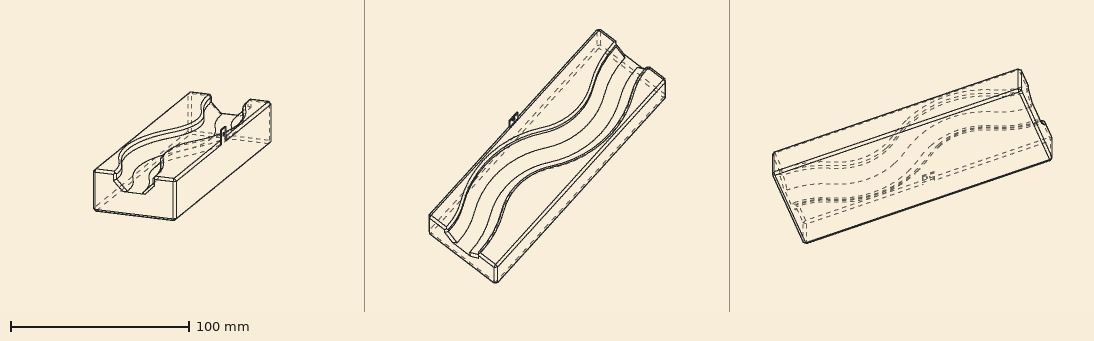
import cadquery as cq
import math

length = 150
width = length / 3
height = length / 6
edge_chamfer = 1.5

channel_radius = 11.0
bend_reach = 10.0
bend_y = 29.5
straight_run = 2.7
floor_z = height - channel_radius

overall_height = 32.0
tab_thickness = 0.8
tab_width = 7.0
tab_height = overall_height - height
tab_hole_diameter = 2.0


def channel_outline(radius):
    """Half-octagon points from the top left to the top right, depth measured down from zero."""
    corner = radius * math.tan(math.pi / 8)
    return [
        (-radius, 0),
        (-radius, -corner),
        (-corner, -radius),
        (corner, -radius),
        (radius, -corner),
        (radius, 0),
    ]


def make_block():
    return (
        cq.Workplane("XY")
        .box(width, length, height, centered=(True, True, False))
        .edges()
        .chamfer(edge_chamfer)
    )


def make_channel():
    """Half-octagon and flared lip swept along an S-shaped line of tangent arcs."""
    half_reach = bend_reach / 2
    arcs_end_y = length / 2 - straight_run
    sweep_end_y = length / 2 + edge_chamfer
    bend_start_y = (arcs_end_y + bend_y) / 2
    path = (
        cq.Workplane("XY", origin=(0, 0, height))
        .moveTo(0, -sweep_end_y)
        .lineTo(0, -arcs_end_y)
    )
    arc_ends = [
        (-half_reach, -bend_start_y),
        (-bend_reach, -bend_y),
        (0, 0),
        (bend_reach, bend_y),
        (half_reach, bend_start_y),
        (0, arcs_end_y),
    ]
    for end in arc_ends:
        path = path.tangentArcPoint(end, relative=False)
    path = path.lineTo(0, sweep_end_y)

    lip = channel_radius + edge_chamfer
    walls = channel_outline(channel_radius)[1:-1]
    profile = [
        (-lip, 0),
        (-channel_radius, -edge_chamfer),
        *walls,
        (channel_radius, -edge_chamfer),
        (lip, 0),
    ]
    return (
        cq.Workplane("XZ", origin=(0, -sweep_end_y, height))
        .polyline(profile)
        .close()
        .sweep(path)
    )


def make_end_flare(end):
    """Chamfer of the channel walls at one end (-1 or +1), leaving the floor level."""
    flare = (
        cq.Workplane("XZ", origin=(0, -length / 2, height))
        .polyline(channel_outline(channel_radius + edge_chamfer))
        .close()
        .workplane(offset=-edge_chamfer)
        .polyline(channel_outline(channel_radius))
        .close()
        .loft(ruled=True)
    )
    above_floor = cq.Workplane("XY", origin=(0, 0, floor_z)).box(
        width, length, height, centered=(True, True, False)
    )
    flare = flare.intersect(above_floor)
    return flare if end < 0 else flare.mirror("XZ")


def make_tab():
    """Plate flush with the +X side, rooted below the chamfer, with a small round hole."""
    tab_x = (width - tab_thickness) / 2
    tab = cq.Workplane("XY", origin=(tab_x, 0, height - edge_chamfer)).box(
        tab_thickness, tab_width, edge_chamfer + tab_height, centered=(True, True, False)
    )
    hole = (
        cq.Workplane("YZ", origin=(0, 0, height + tab_height / 2))
        .circle(tab_hole_diameter / 2)
        .extrude(width)
    )
    return tab.cut(hole)


result = make_block().cut(make_channel())
for end in (-1, 1):
    result = result.cut(make_end_flare(end))
result = result.union(make_tab())